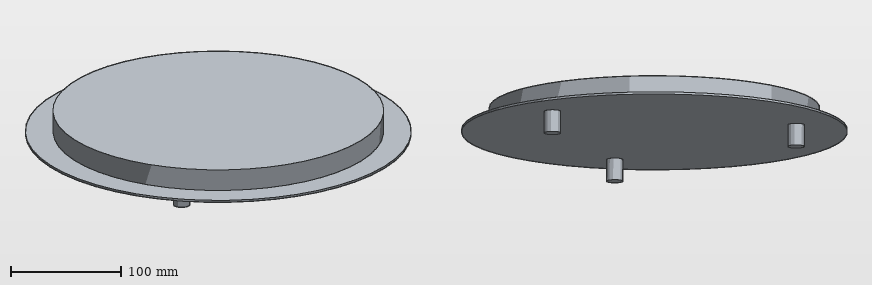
import cadquery as cq

flange_diameter = 350.0
flange_thickness = 2.0

disc_diameter = 300.0
disc_height = 20.0

pin_count = 3
pin_diameter = 15.0
pin_length = 20.0
pin_circle_radius = 132.5
first_pin_angle = 180.0


def make_flange():
    """Thin round plate."""
    return cq.Workplane("XY").circle(flange_diameter / 2).extrude(flange_thickness)


def make_disc():
    """Thick disc, concentric with the flange and resting on its top face."""
    return (
        cq.Workplane("XY", origin=(0, 0, flange_thickness))
        .circle(disc_diameter / 2)
        .extrude(disc_height)
    )


def make_pin(angle):
    """Round pin below the flange, turned to the given angle about the Z axis."""
    pin = (
        cq.Workplane("XY")
        .center(pin_circle_radius, 0)
        .circle(pin_diameter / 2)
        .extrude(-pin_length)
    )
    return pin.rotate((0, 0, 0), (0, 0, 1), angle)


flange = make_flange()
disc = make_disc()

pin_spacing = 360.0 / pin_count
pins = []
for index in range(pin_count):
    pins.append(make_pin(first_pin_angle + index * pin_spacing))

result = cq.Compound.makeCompound([flange.val(), disc.val(), *[pin.val() for pin in pins]])